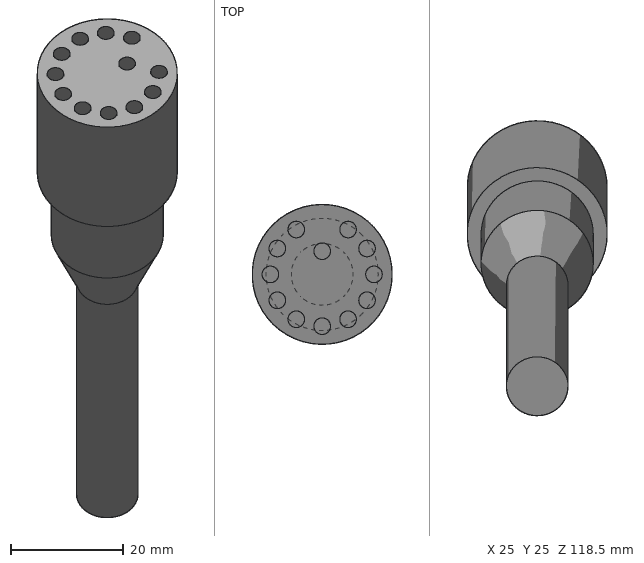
import cadquery as cq

total_length = 118.5
head_length = 28.0
collar_length = 17.5
cone_length = 12.9
stem_length = total_length - head_length - collar_length - cone_length

head_diameter = 25.0
collar_diameter = 20.0
stem_diameter = 11.0

socket_diameter = 3.0
socket_depth = 10.0
socket_circle_radius = 9.2
socket_positions = 12
socket_pitch = 360 / socket_positions
key_socket_offset = 4.1

cone_top = stem_length + cone_length
collar_top = cone_top + collar_length


def turned_body():
    """Stem, cone, collar and head, turned about the Z axis."""
    half_profile = [
        (0, 0),
        (stem_diameter / 2, 0),
        (stem_diameter / 2, stem_length),
        (collar_diameter / 2, cone_top),
        (collar_diameter / 2, collar_top),
        (head_diameter / 2, collar_top),
        (head_diameter / 2, total_length),
        (0, total_length),
    ]
    return cq.Workplane("XZ").polyline(half_profile).close().revolve(360, (0, 0), (0, 1))


def sockets():
    """Blind round sockets: a ring with its +Y place empty, and the inner key socket."""
    top_face = cq.Workplane("XY").workplane(offset=total_length)
    ring = top_face.polarArray(
        socket_circle_radius, 90 + socket_pitch, 360 - 2 * socket_pitch, socket_positions - 1
    )
    ring_cutters = ring.circle(socket_diameter / 2).extrude(-socket_depth)
    key_cutter = top_face.center(0, key_socket_offset).circle(socket_diameter / 2).extrude(-socket_depth)
    return ring_cutters.union(key_cutter)


result = turned_body().cut(sockets())